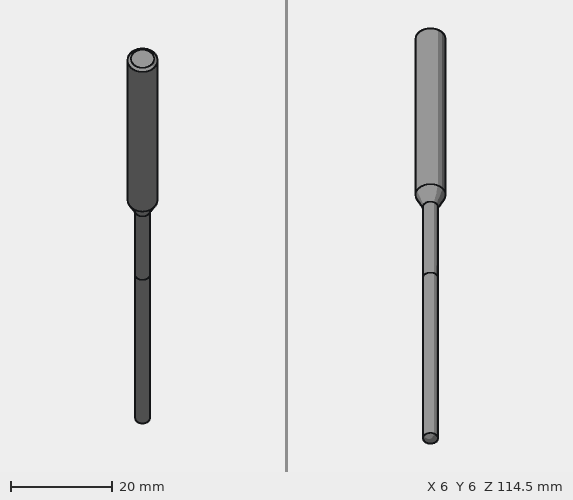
import cadquery as cq
import math

total_length = 114.5
shank_radius = 3.0
drill_radius = 1.5
shank_length = 44.8
taper_length = 3.4
neck_length = 20.2
chamfer_width = 0.7
chamfer_height = 0.5
point_angle = 140.0

point_height = drill_radius / math.tan(math.radians(point_angle / 2))
shank_bottom = total_length - shank_length
neck_top = shank_bottom - taper_length
cutting_top = neck_top - neck_length


def revolve_profile(points):
    """Revolve a closed (radius, height) outline about the Z axis."""
    return cq.Workplane("XZ").polyline(points).close().revolve(360, (0, 0, 0), (0, 1, 0))


def make_shank():
    """Chamfered shank, with its taper and neck down to the cutting part."""
    return revolve_profile([
        (0, cutting_top),
        (drill_radius, cutting_top),
        (drill_radius, neck_top),
        (shank_radius, shank_bottom),
        (shank_radius, total_length - chamfer_height),
        (shank_radius - chamfer_width, total_length),
        (0, total_length),
    ])


def make_cutting_part():
    """Cylindrical cutting part with a conical point."""
    return revolve_profile([
        (0, 0),
        (drill_radius, point_height),
        (drill_radius, cutting_top),
        (0, cutting_top),
    ])


shank = make_shank()
cutting_part = make_cutting_part()

result = cq.Compound.makeCompound([shank.val(), cutting_part.val()])